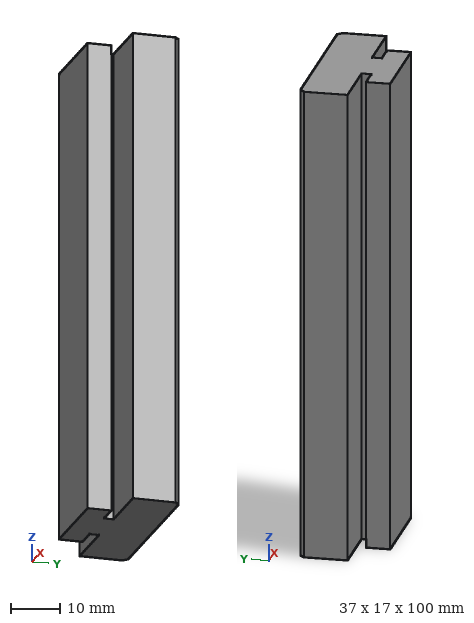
import cadquery as cq

length = 100.0
body_width = 37.0
body_depth = 10.0
neck_width = 10.0
neck_depth = 2.0
flange_width = 20.0
flange_depth = 5.0
chamfer_size = 1.0

total_depth = flange_depth + neck_depth + body_depth
flange_front = -total_depth / 2
neck_front = flange_front + flange_depth
body_front = neck_front + neck_depth


def bar(width, depth, front):
    """Full-length bar centred on X and Z, with its front face at Y = front."""
    return cq.Workplane("XY").box(width, depth, length).translate((0, front + depth / 2, 0))


body = bar(body_width, body_depth, body_front)
body = body.faces(">Y").edges("|Z").chamfer(chamfer_size)

neck = bar(neck_width, neck_depth, neck_front)
flange = bar(flange_width, flange_depth, flange_front)

result = body.union(neck).union(flange)